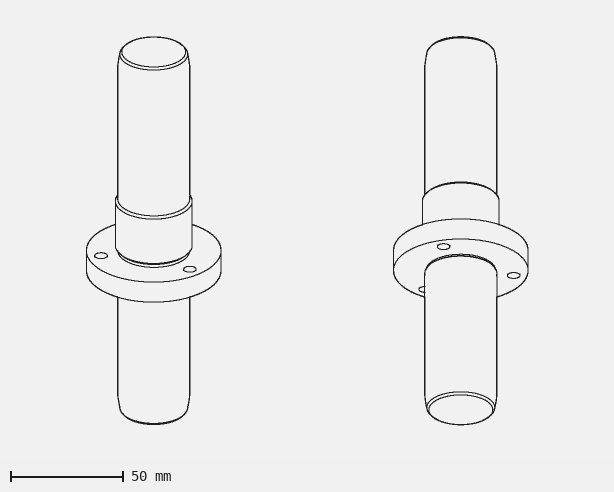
import cadquery as cq

total_length = 180.0
shaft_radius = 16.0

lead_length = 7.0
lead_end_radius = 15.1
lead_middle_radius = 15.7
tip_radius = 14.2
tip_length = 1.0

flange_diameter = 60.0
flange_thickness = 10.0
flange_bottom = 70.0
hole_count = 3
hole_diameter = 5.5
hole_circle_radius = 24.0

collar_radius = 17.1
collar_bottom = 81.5
collar_length = 24.5
collar_chamfer = collar_radius - shaft_radius

relief_radius = 15.5
relief_width = 0.7
relief_cone_length = 0.5


def make_shaft():
    """Revolve the shaft, with the relief groove and a curved lead-in and small cone at each end."""
    top_lead_start = total_length - lead_length
    relief_bottom = flange_bottom - relief_width - relief_cone_length
    lead_middle = (tip_length + lead_length) / 2
    profile = (
        cq.Workplane("XZ")
        .moveTo(0, 0)
        .lineTo(tip_radius, 0)
        .lineTo(lead_end_radius, tip_length)
        .threePointArc(
            (lead_middle_radius, lead_middle),
            (shaft_radius, lead_length),
        )
        .lineTo(shaft_radius, relief_bottom)
        .lineTo(relief_radius, relief_bottom + relief_cone_length)
        .lineTo(relief_radius, flange_bottom)
        .lineTo(shaft_radius, flange_bottom)
        .lineTo(shaft_radius, top_lead_start)
        .threePointArc(
            (lead_middle_radius, total_length - lead_middle),
            (lead_end_radius, total_length - tip_length),
        )
        .lineTo(tip_radius, total_length)
        .lineTo(0, total_length)
        .close()
    )
    return profile.revolve(360, (0, 0, 0), (0, 1, 0))


def make_disc(radius, bottom, height):
    return cq.Workplane("XY").workplane(offset=bottom).circle(radius).extrude(height)


shaft = make_shaft()
flange = make_disc(flange_diameter / 2, flange_bottom, flange_thickness)
collar = make_disc(collar_radius, collar_bottom, collar_length).faces("<Z or >Z").chamfer(collar_chamfer)
bolt_holes = (
    cq.Workplane("XY")
    .workplane(offset=flange_bottom)
    .polarArray(hole_circle_radius, 0, 360, hole_count)
    .circle(hole_diameter / 2)
    .extrude(flange_thickness)
)

result = shaft.union(flange).union(collar).cut(bolt_holes)